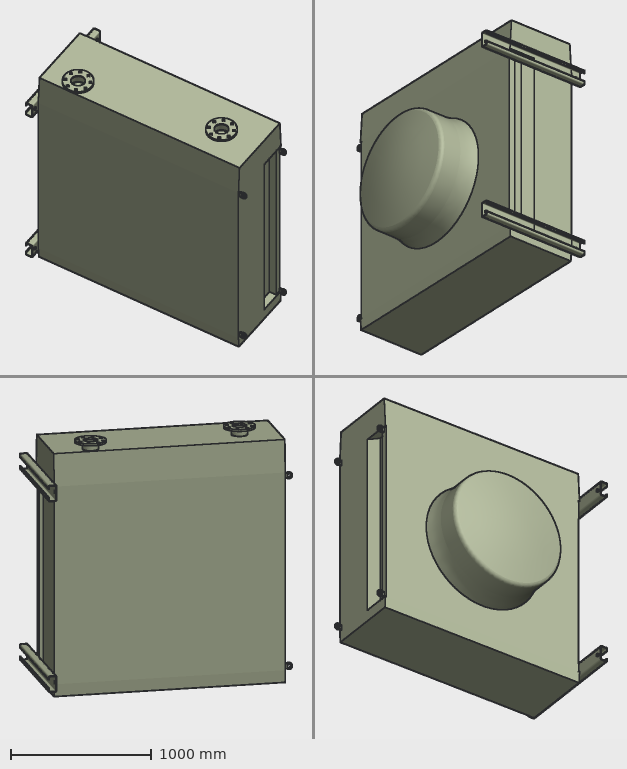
import cadquery as cq
import math


CASING_WIDTH = 1688.0
CASING_DEPTH = 564.0
TANK_HEIGHT = 93.0
CORE_TOP = 1549.0
HEADER_TOP = 1788.0
HEADER_INSET = 15.0
TANK_INSET = 5.0
CORE_HEIGHT = CORE_TOP - TANK_HEIGHT

GROOVE_DEPTH = 65.0
GROOVE_RAMP_START = 341.0
GROOVE_FLOOR_START = 406.0
GROOVE_END = 512.0
REAR_FLANGE_SETBACK = 10.0

COWL_RADIUS = 465.0
COWL_BASE_RADIUS = 490.0
COWL_FLARE_END = 710.0
COWL_APEX = 942.0
COWL_DOME_RADIUS = 1855.0
COWL_EDGE_FILLET = 33.0
COWL_CENTRE_Z = TANK_HEIGHT + CORE_HEIGHT / 2

NOZZLE_TOP = 1855.0
NOZZLE_OFFSET_X = 560.0
NOZZLE_CENTRES = [(-NOZZLE_OFFSET_X, 82.0), (NOZZLE_OFFSET_X, 220.0)]
PIPE_DIAMETER = 115.0
BORE_DIAMETER = 102.0
FLANGE_DIAMETER = 225.0
FLANGE_THICKNESS = 15.0
BOLT_CIRCLE_DIAMETER = 180.0
BOLT_HOLE_DIAMETER = 19.0
BOLT_COUNT = 8

RAIL_WIDTH = 60.0
RAIL_HEIGHT = 120.0
RAIL_LIP = 28.0
RAIL_WALL = 6.5
RAIL_BEND_RADIUS = 11.0
RAIL_FRONT = -75.0
RAIL_LENGTH = 896.0
RAIL_HOLE_DIAMETER = 22.0
RAIL_HOLE_END_DISTANCE = 39.0
RAIL_LEVELS = [117.0, 1521.0]

EYE_REACH = 54.0
EYE_RADIUS = 25.0
EYE_HOLE_DIAMETER = 26.0
EYE_NECK_HEIGHT = 37.0
EYE_THICKNESS = 13.0
EYE_INSET = 20.0


def make_block():
    """Casing outline across its depth, run along the width."""
    outline = [
        (TANK_INSET, 0),
        (CASING_DEPTH - TANK_INSET, 0),
        (CASING_DEPTH, TANK_HEIGHT),
        (CASING_DEPTH, CORE_TOP),
        (CASING_DEPTH - HEADER_INSET, HEADER_TOP),
        (HEADER_INSET, HEADER_TOP),
        (0, CORE_TOP),
        (0, TANK_HEIGHT),
    ]
    return cq.Workplane("YZ").polyline(outline).close().extrude(CASING_WIDTH / 2, both=True)


def make_groove(side):
    """Cutter for one side groove and the setback behind it; side is -1 for -X and +1 for +X."""
    face = side * CASING_WIDTH / 2
    floor = face - side * GROOVE_DEPTH
    rear_flange = face - side * REAR_FLANGE_SETBACK
    outline = [
        (face, GROOVE_RAMP_START),
        (floor, GROOVE_FLOOR_START),
        (floor, GROOVE_END),
        (rear_flange, GROOVE_END),
        (rear_flange, CASING_DEPTH),
        (face, CASING_DEPTH),
    ]
    return (
        cq.Workplane("XY").workplane(offset=TANK_HEIGHT)
        .polyline(outline).close().extrude(CORE_HEIGHT)
    )


def make_cowl():
    """Domed cowl turned about its own axis, which runs along Y."""
    dome_sag = COWL_DOME_RADIUS - math.sqrt(COWL_DOME_RADIUS**2 - COWL_RADIUS**2)
    half_angle = math.asin(COWL_RADIUS / COWL_DOME_RADIUS) / 2
    dome_mid = (
        COWL_DOME_RADIUS * math.sin(half_angle),
        COWL_APEX - COWL_DOME_RADIUS * (1 - math.cos(half_angle)),
    )
    rim = COWL_APEX - dome_sag
    cowl = (
        cq.Workplane("XY")
        .moveTo(0, COWL_APEX)
        .threePointArc(dome_mid, (COWL_RADIUS, rim))
        .lineTo(COWL_RADIUS, COWL_FLARE_END)
        .tangentArcPoint((COWL_BASE_RADIUS, CASING_DEPTH), relative=False)
        .lineTo(0, CASING_DEPTH)
        .close()
        .revolve(360, (0, 0, 0), (0, 1, 0))
    )
    rim_edge = cq.selectors.BoxSelector(
        (-COWL_RADIUS - 19, rim - 2.0, -COWL_RADIUS - 19),
        (COWL_RADIUS + 19, rim + 2.0, COWL_RADIUS + 19),
        boundingbox=True,
    )
    cowl = cowl.edges(rim_edge).fillet(COWL_EDGE_FILLET)
    return cowl.translate((0, 0, COWL_CENTRE_Z))


def make_casing():
    block = make_block()
    for side in (-1, 1):
        block = block.cut(make_groove(side))
    return block.union(make_cowl())


def make_nozzle(centre):
    x, y = centre
    pipe = (
        cq.Workplane("XY").workplane(offset=HEADER_TOP)
        .circle(PIPE_DIAMETER / 2).extrude(NOZZLE_TOP - HEADER_TOP)
    )
    flange = (
        cq.Workplane("XY").workplane(offset=NOZZLE_TOP - FLANGE_THICKNESS)
        .circle(FLANGE_DIAMETER / 2).extrude(FLANGE_THICKNESS)
    )
    bolt_holes = (
        cq.Workplane("XY").workplane(offset=NOZZLE_TOP - FLANGE_THICKNESS)
        .polarArray(BOLT_CIRCLE_DIAMETER / 2, 180 / BOLT_COUNT, 360, BOLT_COUNT)
        .circle(BOLT_HOLE_DIAMETER / 2).extrude(FLANGE_THICKNESS)
    )
    bore = (
        cq.Workplane("XY").workplane(offset=HEADER_TOP)
        .circle(BORE_DIAMETER / 2).extrude(NOZZLE_TOP - HEADER_TOP)
    )
    return pipe.union(flange).cut(bolt_holes).cut(bore).translate((x, y, 0))


def make_rail(level):
    web_face = -CASING_WIDTH / 2
    lip_face = web_face - RAIL_WIDTH
    rail_middle_x = (web_face + lip_face) / 2
    bar = (
        cq.Workplane("XY").box(RAIL_WIDTH, RAIL_LENGTH, RAIL_HEIGHT)
        .edges("|Y").fillet(RAIL_BEND_RADIUS)
    )
    hollow = (
        cq.Workplane("XY")
        .box(RAIL_WIDTH - 2 * RAIL_WALL, RAIL_LENGTH, RAIL_HEIGHT - 2 * RAIL_WALL)
        .edges("|Y").fillet(RAIL_BEND_RADIUS - RAIL_WALL)
    )
    mouth = (
        cq.Workplane("XY")
        .box(RAIL_WIDTH / 2, RAIL_LENGTH, RAIL_HEIGHT - 2 * RAIL_LIP)
        .translate((-RAIL_WIDTH / 4, 0, 0))
    )
    hole_y = RAIL_LENGTH / 2 - RAIL_HOLE_END_DISTANCE
    holes = (
        cq.Workplane("YZ").pushPoints([(-hole_y, 0), (hole_y, 0)])
        .circle(RAIL_HOLE_DIAMETER / 2).extrude(RAIL_WIDTH)
    )
    rail = bar.cut(hollow).cut(mouth).cut(holes)
    return rail.translate((rail_middle_x, RAIL_FRONT + RAIL_LENGTH / 2, level))


def make_eye(y, level):
    """Ring on a short neck that meets the +X side of the casing."""
    ring_offset = EYE_REACH - EYE_RADIUS
    neck = (
        cq.Workplane("XZ").center(ring_offset / 2, 0)
        .rect(ring_offset, EYE_NECK_HEIGHT).extrude(EYE_THICKNESS / 2, both=True)
    )
    ring = (
        cq.Workplane("XZ").center(ring_offset, 0)
        .circle(EYE_RADIUS).extrude(EYE_THICKNESS / 2, both=True)
    )
    hole = (
        cq.Workplane("XZ").center(ring_offset, 0)
        .circle(EYE_HOLE_DIAMETER / 2).extrude(EYE_THICKNESS / 2, both=True)
    )
    return neck.union(ring).cut(hole).translate((CASING_WIDTH / 2, y, level))


casing = make_casing()
nozzles = [make_nozzle(centre) for centre in NOZZLE_CENTRES]
rails = [make_rail(level) for level in RAIL_LEVELS]
eyes = [
    make_eye(y, level)
    for level in RAIL_LEVELS
    for y in (EYE_INSET, CASING_DEPTH - EYE_INSET)
]

bodies = [casing, *nozzles, *rails, *eyes]
result = cq.Compound.makeCompound([body.val() for body in bodies])